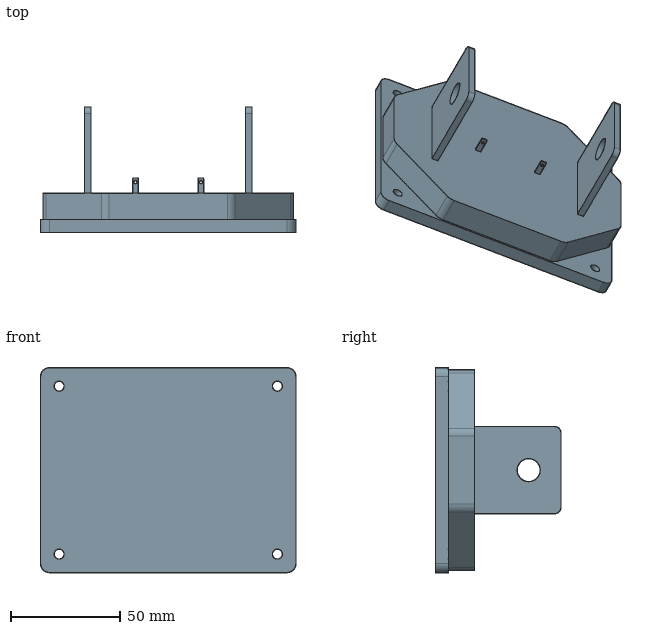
import cadquery as cq

plate_width = 117.0
plate_height = 94.0
plate_thickness = 6.0
plate_corner_radius = 4.2

mount_hole_diameter = 4.5
mount_hole_inset = 8.5

housing_width = 114.9
housing_height = 92.0
housing_depth = 12.0
housing_corner_cut = 28.3
housing_edge_radius = 5.0

total_depth = 57.6
blade_spacing = 73.7
blade_thickness = 3.0
blade_height = 40.0
blade_corner_radius = 3.0
blade_hole_diameter = 10.4
blade_hole_from_tip = 14.9

tab_spacing = 30.0
tab_width = 2.7
tab_thickness = 0.8
tab_length = 7.0
tab_hole_diameter = 1.3
tab_hole_from_tip = 2.0
tab_taper_length = 1.0
tab_taper_inset = 0.1

housing_back = plate_thickness + housing_depth
blade_length = total_depth - housing_back


def make_block(width, length, height, start_y):
    """Box centred on X and Z that runs from start_y toward +Y."""
    block = cq.Workplane("XY").box(width, length, height, centered=(True, False, True))
    return block.translate((0, start_y, 0))


def make_plate():
    plate = make_block(plate_width, plate_thickness, plate_height, 0)
    return plate.edges("|Y").fillet(plate_corner_radius)


def make_housing():
    housing = make_block(housing_width, housing_depth, housing_height, plate_thickness)
    housing = housing.edges("|Y").chamfer(housing_corner_cut)
    return housing.edges("|Y").fillet(housing_edge_radius)


def make_mount_holes():
    """Cylinders through the plate, running on past the outside of the housing's cut corners."""
    return (
        cq.Workplane("XZ")
        .rect(plate_width - 2 * mount_hole_inset, plate_height - 2 * mount_hole_inset, forConstruction=True)
        .vertices()
        .circle(mount_hole_diameter / 2)
        .extrude(-housing_back)
    )


def make_blade():
    blade = make_block(blade_thickness, blade_length, blade_height, housing_back)
    blade = blade.faces(">Y").edges("|X").fillet(blade_corner_radius)
    hole = (
        cq.Workplane("YZ")
        .center(total_depth - blade_hole_from_tip, 0)
        .circle(blade_hole_diameter / 2)
        .extrude(blade_thickness, both=True)
    )
    return blade.cut(hole)


def make_tab():
    tab_tip = housing_back + tab_length
    taper_start = tab_tip - tab_taper_length
    shank = make_block(tab_width, tab_length - tab_taper_length, tab_thickness, housing_back)
    tapered_tip = (
        cq.Workplane("XZ", origin=(0, taper_start, 0))
        .rect(tab_width, tab_thickness)
        .workplane(offset=-tab_taper_length)
        .rect(tab_width - 2 * tab_taper_inset, tab_thickness - 2 * tab_taper_inset)
        .loft(ruled=True)
    )
    hole = (
        cq.Workplane("XY")
        .center(0, tab_tip - tab_hole_from_tip)
        .circle(tab_hole_diameter / 2)
        .extrude(tab_thickness, both=True)
    )
    return shank.union(tapered_tip).cut(hole)


result = make_plate().union(make_housing()).cut(make_mount_holes())
for side in (-1, 1):
    result = result.union(make_blade().translate((side * blade_spacing / 2, 0, 0)))
    result = result.union(make_tab().translate((side * tab_spacing / 2, 0, 0)))